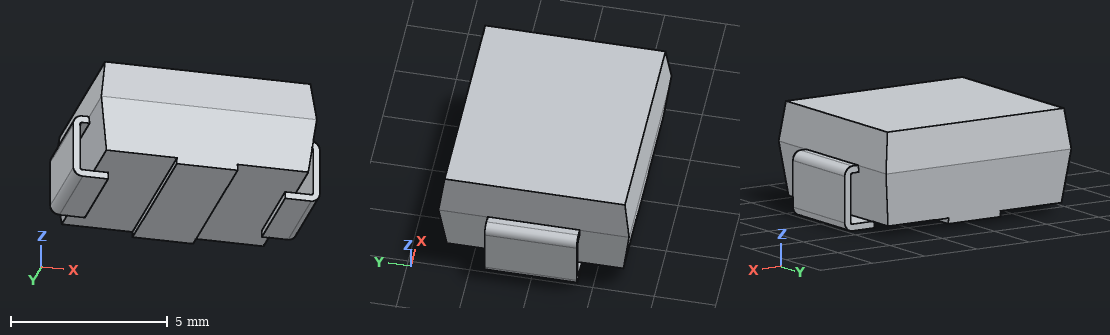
import cadquery as cq
import math

overall_length = 8.13
overall_height = 3.43

body_length = 7.105
body_width = 6.2
parting_height = 2.12
draft_angle = 7.3
body_underside = 0.34

pad_length = 2.0
pad_underside = 0.15

lead_width = 2.99
lead_thickness = 0.23
bend_outer_radius = 0.3
bend_inner_radius = bend_outer_radius - lead_thickness
foot_length = 1.15
lead_embed = 0.16


def drafted_block(height):
    """Block rising (or hanging, if height is negative) from the parting plane, narrowing with draft."""
    inset = abs(height) * math.tan(math.radians(draft_angle))
    return (
        cq.Workplane("XY")
        .workplane(offset=parting_height)
        .rect(body_length, body_width)
        .workplane(offset=height)
        .rect(body_length - 2 * inset, body_width - 2 * inset)
        .loft(combine=True, ruled=True)
    )


def make_body():
    upper = drafted_block(overall_height - parting_height)
    lower = drafted_block(body_underside - parting_height)
    pad_slice = cq.Workplane("XY").box(
        pad_length, body_width, parting_height, centered=(True, True, False)
    )
    pad = drafted_block(pad_underside - parting_height).intersect(pad_slice)
    return upper.union(lower).union(pad)


def lead_slab(start_x, bottom_z, length, height):
    """Plain block as wide as a lead, placed by its lower left edge."""
    return (
        cq.Workplane("XZ", origin=(0, lead_width / 2, 0))
        .moveTo(start_x, bottom_z)
        .rect(length, height, centered=False)
        .extrude(lead_width)
    )


def make_left_lead():
    outer_x = -overall_length / 2
    inner_x = outer_x + lead_thickness
    opening_height = parting_height - 2 * lead_thickness

    outline = lead_slab(outer_x, 0, foot_length, parting_height)
    outline = outline.edges("|Y and <X").fillet(bend_outer_radius)
    opening = lead_slab(inner_x, lead_thickness, foot_length, opening_height)
    opening = opening.edges("|Y and <X").fillet(bend_inner_radius)

    arm_end_x = -body_length / 2 + lead_embed
    arm_trim = lead_slab(arm_end_x, parting_height / 2, foot_length, parting_height / 2)
    return outline.cut(opening).cut(arm_trim)


left_lead = make_left_lead()
right_lead = left_lead.mirror("YZ")
result = make_body().union(left_lead).union(right_lead)